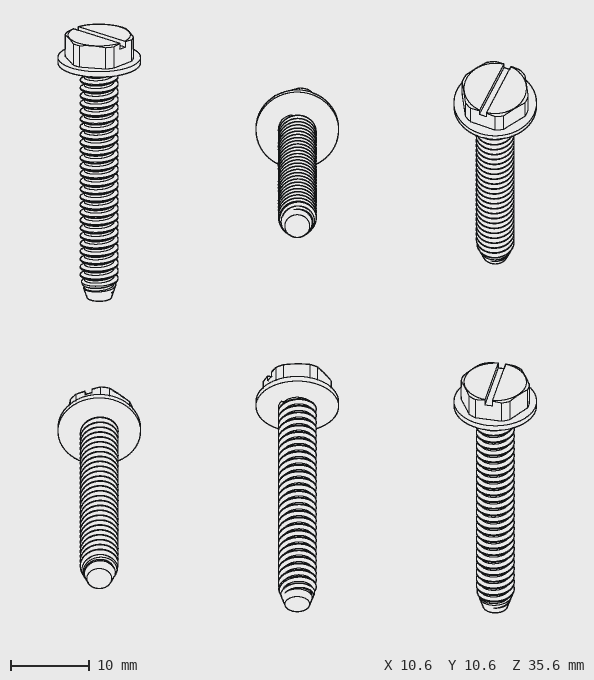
import cadquery as cq
import math

total_length = 35.6
head_height = 3.77
flange_diameter = 10.55
flange_thickness = 0.75

across_flats = 8.05
across_corners = 8.72
head_top_diameter = 7.95
corner_chamfer_height = 0.15
slot_width = 0.95
slot_depth = 0.8

major_diameter = 4.85
minor_diameter = 3.8
thread_turns = 30
thread_length = 31.7
pitch = thread_length / thread_turns
crest_width = 0.15
flank_half_angle = 30.0
crest_drop_below_head = 0.9
root_overlap = 0.1

tip_diameter = 3.15
taper_length = 2.55

underside_z = total_length - head_height
flange_top_z = underside_z + flange_thickness


def make_cone(bottom_radius, top_radius, height, bottom_z):
    """Truncated cone around the screw axis."""
    return cq.Workplane(cq.Solid.makeCone(bottom_radius, top_radius, height, cq.Vector(0, 0, bottom_z)))


def make_head():
    """Slotted hexagon with corners on Y, standing on a round flange."""
    hexagon_height = total_length - flange_top_z
    hexagon = (
        cq.Workplane("XY", origin=(0, 0, flange_top_z))
        .transformed(rotate=(0, 0, 30))
        .polygon(6, across_flats / math.cos(math.pi / 6))
        .extrude(hexagon_height)
    )
    corner_radius = across_corners / 2
    corner_cylinder = (
        cq.Workplane("XY", origin=(0, 0, flange_top_z))
        .circle(corner_radius)
        .extrude(hexagon_height)
    )
    hexagon = hexagon.intersect(corner_cylinder)

    top_radius = head_top_diameter / 2
    chamfer_slope = (corner_radius - top_radius) / corner_chamfer_height
    cone_radius = top_radius + hexagon_height * chamfer_slope
    hexagon = hexagon.intersect(make_cone(cone_radius, top_radius, hexagon_height, flange_top_z))

    slot = (
        cq.Workplane("XY", origin=(0, 0, total_length - slot_depth))
        .rect(flange_diameter, slot_width)
        .extrude(slot_depth)
    )
    flange = (
        cq.Workplane("XY", origin=(0, 0, underside_z))
        .circle(flange_diameter / 2)
        .extrude(flange_thickness)
    )
    return flange.union(hexagon.cut(slot))


def make_thread_ridge():
    """Right-handed ridge from inside the flange down to the tapered tip."""
    top_crest_z = underside_z - crest_drop_below_head + pitch
    start_z = top_crest_z - thread_length
    inner_radius = minor_diameter / 2 - root_overlap
    outer_radius = major_diameter / 2
    half_crest = crest_width / 2
    half_base = half_crest + (outer_radius - inner_radius) * math.tan(math.radians(flank_half_angle))
    helix = cq.Wire.makeHelix(pitch, thread_length, inner_radius, cq.Vector(0, 0, start_z))
    profile = cq.Workplane("XZ").polyline(
        [
            (inner_radius, start_z - half_base),
            (outer_radius, start_z - half_crest),
            (outer_radius, start_z + half_crest),
            (inner_radius, start_z + half_base),
        ]
    ).close()
    return profile.sweep(cq.Workplane(helix), isFrenet=True)


def make_shank():
    """Threaded core, trimmed to a taper at the tip."""
    core = cq.Workplane("XY").circle(minor_diameter / 2).extrude(flange_top_z)
    tip_radius = tip_diameter / 2
    taper_slope = (major_diameter / 2 - tip_radius) / taper_length
    envelope_radius = tip_radius + total_length * taper_slope
    envelope = make_cone(tip_radius, envelope_radius, total_length, 0)
    return core.union(make_thread_ridge()).intersect(envelope)


result = make_head().union(make_shank(), clean=False)